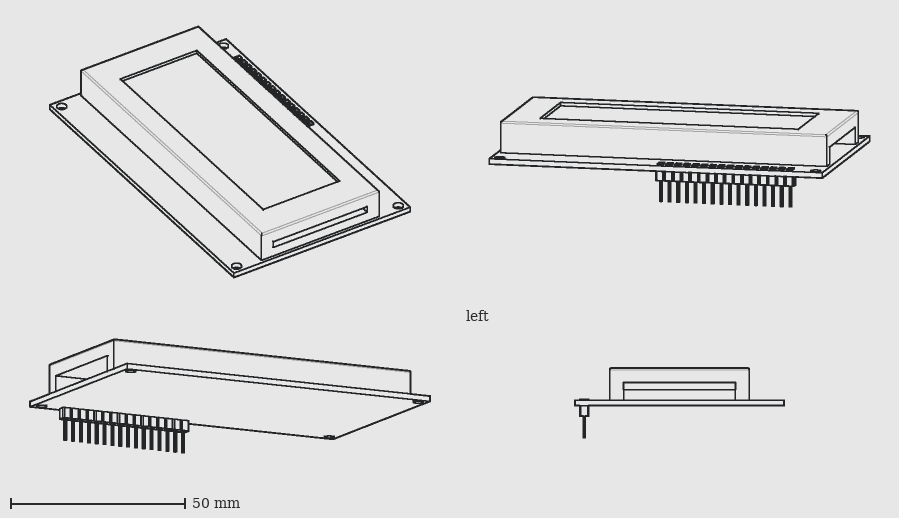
import cadquery as cq

BOARD_LENGTH = 98.0
BOARD_WIDTH = 60.0
BOARD_THICKNESS = 1.6
MOUNT_HOLE_DIAMETER = 2.9
MOUNT_HOLE_INSET = 2.5

BEZEL_LENGTH = 96.0
BEZEL_WIDTH = 40.0
BEZEL_HEIGHT = 9.2
BEZEL_EDGE_RADIUS = 0.5
WINDOW_LENGTH = 76.0
WINDOW_WIDTH = 26.0
WINDOW_DEPTH = 1.0

CHANNEL_WALL = 4.0
CHANNEL_WIDTH = BEZEL_WIDTH - 2 * CHANNEL_WALL
CHANNEL_HEIGHT = 5.0
SILL_HEIGHT = 3.0
SILL_LENGTH = CHANNEL_WALL

PIN_COUNT = 16
PIN_PITCH = 2.54
PIN_SIZE = 0.7
PIN_CORNER = 0.2
HEADER_CENTER_X = -19.95
HEADER_INSET = 2.7
HEADER_CENTER_Y = BOARD_WIDTH / 2 - HEADER_INSET
HOUSING_WIDTH = 2.7
HOUSING_HEIGHT = 3.0
HOUSING_CORNER = 0.35
PIN_REACH = 9.2
PAD_LENGTH = 1.5
PAD_WIDTH = HOUSING_WIDTH
PAD_HEIGHT = 0.3


def box_from(bottom_z, length, width, height, center=(0, 0)):
    """Box centred on an XY point and rising from bottom_z."""
    base = cq.Workplane("XY").workplane(offset=bottom_z).center(*center)
    return base.rect(length, width).extrude(height)


def eight_sided_post(bottom_z, length, width, height, corner, center):
    """Upright rectangular post with its four vertical corners cut off."""
    return box_from(bottom_z, length, width, height, center).edges("|Z").chamfer(corner)


def make_board():
    board = box_from(0, BOARD_LENGTH, BOARD_WIDTH, BOARD_THICKNESS)
    return (
        board.faces(">Z")
        .workplane()
        .rect(
            BOARD_LENGTH - 2 * MOUNT_HOLE_INSET,
            BOARD_WIDTH - 2 * MOUNT_HOLE_INSET,
            forConstruction=True,
        )
        .vertices()
        .hole(MOUNT_HOLE_DIAMETER)
    )


def make_bezel():
    bezel = box_from(BOARD_THICKNESS, BEZEL_LENGTH, BEZEL_WIDTH, BEZEL_HEIGHT)
    bezel = bezel.faces(">Z").edges().fillet(BEZEL_EDGE_RADIUS)

    window_floor_z = BOARD_THICKNESS + BEZEL_HEIGHT - WINDOW_DEPTH
    window = box_from(window_floor_z, WINDOW_LENGTH, WINDOW_WIDTH, WINDOW_DEPTH)

    channel = box_from(BOARD_THICKNESS, BEZEL_LENGTH, CHANNEL_WIDTH, CHANNEL_HEIGHT)
    sill_center = ((BEZEL_LENGTH - SILL_LENGTH) / 2, 0)
    sill = box_from(BOARD_THICKNESS, SILL_LENGTH, CHANNEL_WIDTH, SILL_HEIGHT, sill_center)
    return bezel.cut(window).cut(channel.cut(sill))


def add_pin(body, center):
    """Add one header position: housing and pin below the board, open pad above it."""
    housing = eight_sided_post(
        -HOUSING_HEIGHT, PIN_PITCH, HOUSING_WIDTH, HOUSING_HEIGHT, HOUSING_CORNER, center
    )
    pin = eight_sided_post(-PIN_REACH, PIN_SIZE, PIN_SIZE, PIN_REACH, PIN_CORNER, center)
    pad = box_from(BOARD_THICKNESS, PAD_LENGTH, PAD_WIDTH, PAD_HEIGHT, center)
    pad_opening = eight_sided_post(
        BOARD_THICKNESS, PIN_SIZE, PIN_SIZE, PAD_HEIGHT, PIN_CORNER, center
    )
    return body.union(housing).union(pin).union(pad.cut(pad_opening))


result = make_board().union(make_bezel())
first_pin_x = HEADER_CENTER_X - (PIN_COUNT - 1) * PIN_PITCH / 2
for index in range(PIN_COUNT):
    result = add_pin(result, (first_pin_x + index * PIN_PITCH, HEADER_CENTER_Y))